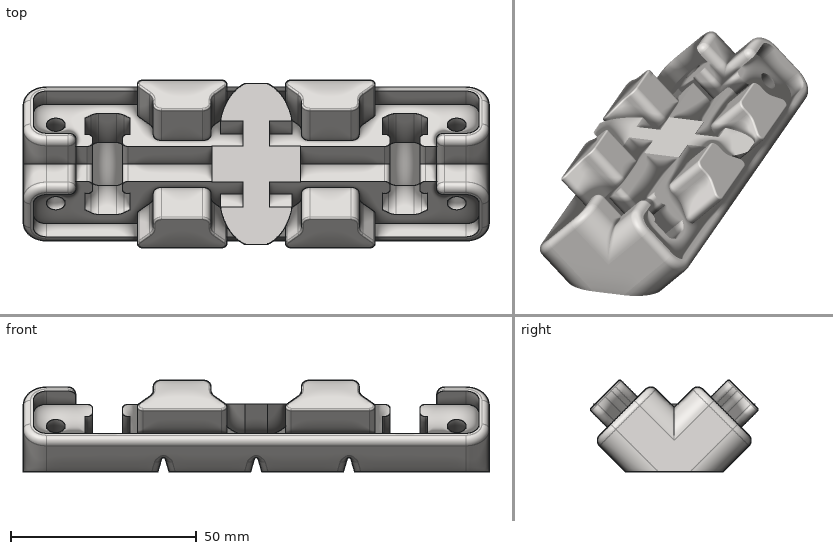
import cadquery as cq
import math

tilt = 45.0

slope = math.sqrt(2)

length = 125.6
tray_low = -9.3
tray_high = 12.3
rim_height = 21.2
corner_radius = 6.3
rim_thickness = 2.8
rim_fillet = 2.0
floor_height = 16.2
cavity_low = tray_low + rim_thickness
cavity_high = tray_high - rim_thickness
cavity_corner_radius = corner_radius - rim_thickness

cap_length = 14.2
cap_inner_end = length / 2 - cap_length
cap_corner_radius = 2.1

clamp_offset = 20.0
clamp_height = 28.0
clamp_half_narrow = 7.8
clamp_low = -4.3
clamp_high = 7.3
flare_high = 2.1
clamp_half_tip = clamp_half_narrow + flare_high - clamp_low
flare_radius = 3.3
clamp_tip_radius = 1.5
clamp_corner_radius = 2.3
clamp_edge_fillet = 0.5

bridge_top = 18.3
boss_half_tip = 3.0
boss_half_middle = 7.4
boss_half_width = 9.7
boss_low = -2.4
boss_middle = 0.5
boss_high = 4.8
neck_half_width = 3.5
filler_half_length = 11.9
bridge_overlap = 0.1

pocket_offset = 40.1
pocket_half_wide = 6.0
pocket_half_neck = 4.0
pocket_half_tip = 3.5
pocket_low = -3.0
pocket_shoulder = -1.3
pocket_high = 4.9
pocket_bottom = 1.5
pocket_corner_radius = 3.5
pocket_lip_radius = 1.5
pocket_half_mouth = pocket_half_neck + 2 * pocket_lip_radius

hole_diameter = 5.0
hole_offset = 54.0
hole_up_slope = 1.3
hole_depth = 10.0

groove_pitch = 25.0
groove_half_width = 1.5
groove_peak = 5.2
groove_peak_radius = 0.5
groove_lip_fillet = 2.0

near = 0.1


def mirrored_outline(right_half):
    """Closed outline symmetric about the Y axis, from its right half."""
    left_half = [(-x, y) for x, y in reversed(right_half)]
    return cq.Workplane("XY").polyline(right_half + left_half).close()


def block(x_size, y_size, z_low, z_high):
    return cq.Workplane("XY").workplane(offset=z_low).rect(x_size, y_size).extrude(z_high - z_low)


def upright_edges(body, x, y):
    """Vertical edges of a body at (x, y) and (-x, y)."""

    def at_position(edge):
        center = edge.Center()
        return math.hypot(abs(center.x) - x, center.y - y) < near

    return body.edges("|Z").filter(at_position)


def tray():
    """Solid with a rounded, rimmed outline, hollowed down to the floor."""
    body = mirrored_outline(
        [
            (length / 2, tray_low),
            (length / 2, tray_high),
            (cap_inner_end, tray_high),
            (cap_inner_end, cavity_high),
        ]
    ).extrude(rim_height + length / 2)
    body = body.translate((0, 0, -length / 2))
    body = upright_edges(body, length / 2, tray_low).fillet(corner_radius)
    body = upright_edges(body, length / 2, tray_high).fillet(corner_radius)
    body = upright_edges(body, cap_inner_end, tray_high).fillet(cap_corner_radius)
    body = body.faces(">Z").edges().fillet(rim_fillet)
    cavity = block(length - 2 * rim_thickness, cavity_high - cavity_low, floor_height, length)
    cavity = cavity.edges("|Z").fillet(cavity_corner_radius)
    return body.cut(cavity.translate((0, (cavity_low + cavity_high) / 2, 0)))


def clamp():
    """Block that narrows up the slope through 45 degree flares."""
    body = mirrored_outline(
        [
            (clamp_half_tip, clamp_low),
            (clamp_half_narrow, flare_high),
            (clamp_half_narrow, clamp_high),
        ]
    ).extrude(clamp_height)
    body = upright_edges(body, clamp_half_narrow, clamp_high).fillet(clamp_corner_radius)
    body = upright_edges(body, clamp_half_narrow, flare_high).fillet(flare_radius)
    body = upright_edges(body, clamp_half_tip, clamp_low).fillet(clamp_tip_radius)
    return body.faces(">Z").edges().fillet(clamp_edge_fillet)


def boss():
    """Upright oval with a flat upper side, before its top is levelled."""
    return (
        cq.Workplane("XY")
        .moveTo(-boss_half_tip, boss_low)
        .lineTo(boss_half_tip, boss_low)
        .threePointArc((boss_half_middle, boss_middle), (boss_half_width, boss_high))
        .lineTo(-boss_half_width, boss_high)
        .threePointArc((-boss_half_middle, boss_middle), (-boss_half_tip, boss_low))
        .close()
        .extrude(length)
    )


def pocket():
    """Cutter with a wide lower part and a neck that opens into the V with rounded lips."""
    body = mirrored_outline(
        [
            (pocket_half_tip, pocket_low),
            (pocket_half_wide, pocket_shoulder),
            (pocket_half_wide, pocket_high),
            (pocket_half_neck, pocket_high),
            (pocket_half_neck, cavity_high),
            (pocket_half_mouth, cavity_high),
            (pocket_half_mouth, 2 * cavity_high),
        ]
    ).extrude(length)
    body = upright_edges(body, pocket_half_tip, pocket_low).fillet(pocket_corner_radius)
    body = upright_edges(body, pocket_half_neck, pocket_high).fillet(pocket_lip_radius)
    return upright_edges(body, pocket_half_neck, cavity_high).fillet(pocket_lip_radius)


def hole():
    bottom = floor_height - hole_depth
    return cq.Workplane("XY").workplane(offset=bottom).circle(hole_diameter / 2).extrude(length)


def tilted(body):
    return body.rotate((0, 0, 0), (1, 0, 0), tilt)


def wing():
    """Complete half of the part on the -Y side, above the base."""
    body = tray()
    for side in (-1, 1):
        body = body.union(clamp().translate((side * clamp_offset, 0, 0)))
        body = body.cut(hole().translate((side * hole_offset, hole_up_slope, 0)))
    level_boss = tilted(boss()).intersect(block(length, length, 0, bridge_top))
    body = tilted(body).union(level_boss)
    level_pocket = tilted(pocket()).intersect(block(length, length, pocket_bottom, length))
    for side in (-1, 1):
        body = body.cut(level_pocket.translate((side * pocket_offset, 0, 0)))
    return body.intersect(block(length, length, 0, length).translate((0, -length / 2, 0)))


def groove():
    """Cutter of triangular section with a rounded peak, running along Y."""
    triangle = [(groove_half_width, 0), (0, groove_peak), (-groove_half_width, 0)]
    body = cq.Workplane("XY").polyline(triangle).close().extrude(length)
    body = upright_edges(body, 0, groove_peak).fillet(groove_peak_radius)
    return body.translate((0, 0, -length / 2)).rotate((0, 0, 0), (1, 0, 0), 90)


def bridge():
    """Neck between the two bosses, and the wider filler of the V."""
    neck_length = 2 * (bridge_top - slope * boss_high) + bridge_overlap
    filler_width = 2 * (bridge_top - slope * cavity_high)
    neck = block(2 * neck_half_width, neck_length, pocket_bottom, bridge_top)
    return neck.union(block(2 * filler_half_length, filler_width, pocket_bottom, bridge_top))


def groove_lips(body):
    """Edges where the grooves break through the sloping outer walls of the trays."""
    base_half_width = -slope * tray_low

    def is_lip(edge):
        center = edge.Center()
        on_wall = abs(abs(center.y) - center.z - base_half_width) < near
        beside_groove = abs(center.x) < groove_pitch + groove_half_width
        return on_wall and beside_groove and near < center.z < groove_peak

    return body.edges().filter(is_lip)


half = wing()
result = half.union(half.mirror("XZ")).union(bridge())
for step in (-1, 0, 1):
    result = result.cut(groove().translate((step * groove_pitch, 0, 0)))
result = groove_lips(result).fillet(groove_lip_fillet)